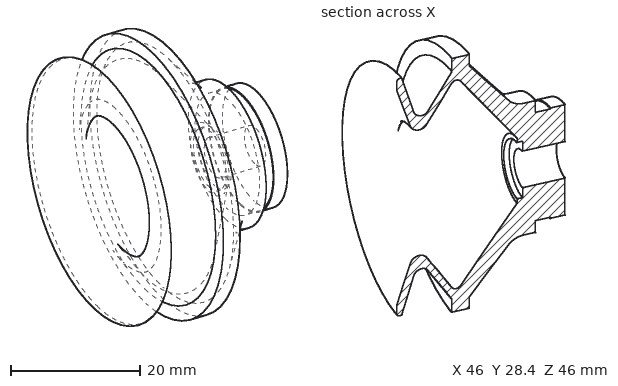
import cadquery as cq
import math


OVERALL_LENGTH = 28.4
NECK_RADIUS = 10.05
NECK_RELIEF = 0.2
NECK_BAND = 2.5
COLLAR_RADIUS = 11.95
COLLAR_LENGTH = 2.0

FLANGE_RADIUS = 23.0
FLANGE_WIDTH = 3.0
FLANGE_FRONT = 9.3
REAR_CONE_RADIUS = 20.95
FRONT_CONE_RADIUS = 20.6
SHOULDER_END = (12.93, 19.05)

THROAT = (13.9, 4.3)
THROAT_REAR = (14.45, 5.25)
THROAT_FRONT = (14.65, 3.0)

LIP_BACK = (21.35, 0.9)
LIP_RIM = (21.55, 0.55)
LIP_FACE_RADIUS = 21.0
LIP_INNER_RADIUS = 19.35

MOUTH = (12.6, 2.2)
INNER_THROAT = (11.3, 3.8)
INNER_THROAT_ROUND = 1.45
POCKET_FRONT_ANGLE = math.radians(33.3)
POCKET_FRONT_SLANT = 7.7
POCKET_ROUND = 0.9
POCKET_REAR_ANGLE = math.radians(37.1)

SEAT_RADIUS = 5.9
RECESS_RADIUS = 5.05
RECESS_DEPTH = 0.9
HOLE_RADIUS = 3.25

flange_back = FLANGE_FRONT + FLANGE_WIDTH
relief_back = OVERALL_LENGTH - NECK_BAND
collar_back = relief_back - NECK_BAND
collar_front = collar_back - COLLAR_LENGTH


def arc_middle(crest, end):
    """Middle of the arc that runs parallel to the axis at crest and stops at end."""
    dr = end[0] - crest[0]
    dy = end[1] - crest[1]
    arc_radius = (dr**2 + dy**2) / (2 * dr)
    half_angle = math.atan2(abs(dr), abs(dy))
    return (
        crest[0] + arc_radius * (1 - math.cos(half_angle)),
        crest[1] + math.copysign(arc_radius * math.sin(half_angle), dy),
    )


def arc_from_crest(profile, crest, end):
    return profile.threePointArc(arc_middle(crest, end), end)


def arc_to_crest(profile, start, crest):
    return profile.threePointArc(arc_middle(crest, start), crest)


def revolve_about_y(profile):
    return profile.close().revolve(360, (0, 0, 0), (0, 1, 0))


def outer_body():
    relief_radius = NECK_RADIUS - NECK_RELIEF
    profile = (
        cq.Workplane("XY")
        .moveTo(0, OVERALL_LENGTH)
        .lineTo(NECK_RADIUS, OVERALL_LENGTH)
        .lineTo(NECK_RADIUS, relief_back)
        .lineTo(relief_radius, relief_back)
        .lineTo(relief_radius, collar_back)
        .lineTo(COLLAR_RADIUS, collar_back)
        .lineTo(COLLAR_RADIUS, collar_front)
    )
    profile = arc_from_crest(profile, (COLLAR_RADIUS, collar_front), SHOULDER_END)
    profile = (
        profile.lineTo(REAR_CONE_RADIUS, flange_back)
        .lineTo(FLANGE_RADIUS, flange_back)
        .lineTo(FLANGE_RADIUS, FLANGE_FRONT)
        .lineTo(FRONT_CONE_RADIUS, FLANGE_FRONT)
        .lineTo(*THROAT_REAR)
    )
    profile = arc_to_crest(profile, THROAT_REAR, THROAT)
    profile = arc_from_crest(profile, THROAT, THROAT_FRONT)
    profile = profile.lineTo(*LIP_BACK)
    profile = arc_to_crest(profile, LIP_BACK, LIP_RIM)
    profile = arc_from_crest(profile, LIP_RIM, (LIP_FACE_RADIUS, 0))
    return revolve_about_y(profile.lineTo(0, 0))


def cavity():
    front_sin = math.sin(POCKET_FRONT_ANGLE)
    front_cos = math.cos(POCKET_FRONT_ANGLE)

    pocket_entry = (
        INNER_THROAT[0] + INNER_THROAT_ROUND * (1 - front_sin),
        INNER_THROAT[1] + INNER_THROAT_ROUND * front_cos,
    )
    pocket_front = (
        pocket_entry[0] + POCKET_FRONT_SLANT * front_cos,
        pocket_entry[1] + POCKET_FRONT_SLANT * front_sin,
    )
    round_centre = (
        pocket_front[0] - POCKET_ROUND * front_sin,
        pocket_front[1] + POCKET_ROUND * front_cos,
    )
    pocket_tip = (round_centre[0] + POCKET_ROUND, round_centre[1])
    pocket_rear = (
        round_centre[0] + POCKET_ROUND * math.sin(POCKET_REAR_ANGLE),
        round_centre[1] + POCKET_ROUND * math.cos(POCKET_REAR_ANGLE),
    )
    seat_y = pocket_rear[1] + (pocket_rear[0] - SEAT_RADIUS) * math.tan(POCKET_REAR_ANGLE)
    recess_y = seat_y + RECESS_DEPTH

    profile = cq.Workplane("XY").lineTo(LIP_INNER_RADIUS, 0).lineTo(*MOUTH)
    profile = arc_to_crest(profile, MOUTH, INNER_THROAT)
    profile = arc_from_crest(profile, INNER_THROAT, pocket_entry)
    profile = (
        profile.lineTo(*pocket_front)
        .threePointArc(pocket_tip, pocket_rear)
        .lineTo(SEAT_RADIUS, seat_y)
        .lineTo(RECESS_RADIUS, seat_y)
        .lineTo(RECESS_RADIUS, recess_y)
        .lineTo(HOLE_RADIUS, recess_y)
        .lineTo(HOLE_RADIUS, OVERALL_LENGTH)
        .lineTo(0, OVERALL_LENGTH)
    )
    return revolve_about_y(profile)


result = outer_body().cut(cavity())